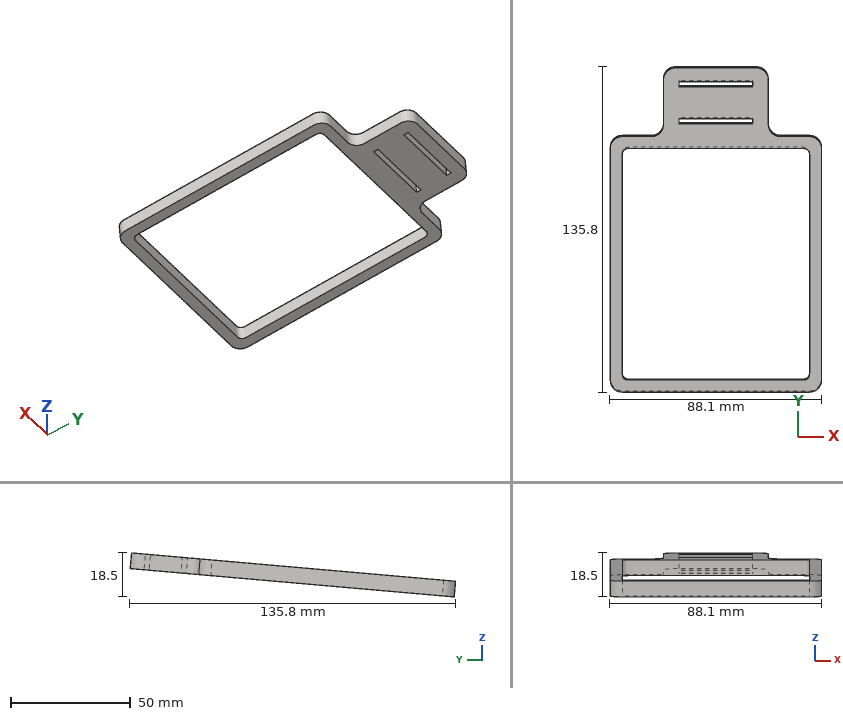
import cadquery as cq
import math

TILT_ANGLE = 5.0
TILTED_LENGTH = 135.8
THICKNESS = 6.7
TILT = math.radians(TILT_ANGLE)
LENGTH = (TILTED_LENGTH - THICKNESS * math.sin(TILT)) / math.cos(TILT)

FRAME_WIDTH = 88.1
FRAME_LENGTH = 107.0
RIM_WIDTH = 5.0
OUTER_RADIUS = 5.0
INNER_RADIUS = 2.5

TAB_WIDTH = 43.7
TAB_RADIUS = 5.0
SLOT_WIDTH = 30.7
SLOT_HEIGHT = 2.2
SLOT_COUNT = 2
SLOT_PITCH = 15.5
OUTER_SLOT_TO_END = 6.9

OPENING_WIDTH = FRAME_WIDTH - 2 * RIM_WIDTH
OPENING_LENGTH = FRAME_LENGTH - 2 * RIM_WIDTH
Y_FRONT = -LENGTH / 2
Y_BACK = LENGTH / 2
Y_SHOULDER = Y_FRONT + FRAME_LENGTH


def block(width, y_start, y_end):
    """Full-thickness block centred on X and Z between two Y positions."""
    length = y_end - y_start
    return cq.Workplane("XY").box(width, length, THICKNESS).translate((0, y_start + length / 2, 0))


def make_body():
    """Frame and tab outline with rounded corners and a filleted junction."""
    frame = block(FRAME_WIDTH, Y_FRONT, Y_SHOULDER).edges("|Z").fillet(OUTER_RADIUS)
    tab = block(TAB_WIDTH, Y_SHOULDER - RIM_WIDTH, Y_BACK).edges("|Z and >Y").fillet(TAB_RADIUS)
    junction = cq.selectors.BoxSelector(
        (-TAB_WIDTH, Y_SHOULDER - TAB_RADIUS / 2, -THICKNESS),
        (TAB_WIDTH, Y_SHOULDER + TAB_RADIUS / 2, THICKNESS),
    )
    body = frame.union(tab)
    return body.edges("|Z").edges(junction).fillet(TAB_RADIUS)


def cut_opening(body):
    """Rounded window that leaves an even rim all round."""
    y_start = Y_FRONT + RIM_WIDTH
    opening = block(OPENING_WIDTH, y_start, y_start + OPENING_LENGTH)
    return body.cut(opening.edges("|Z").fillet(INNER_RADIUS))


def cut_strap_slots(body):
    """Through slots across the tab, stepping inward from its end."""
    for index in range(SLOT_COUNT):
        y_center = Y_BACK - OUTER_SLOT_TO_END - index * SLOT_PITCH
        slot = block(SLOT_WIDTH, y_center - SLOT_HEIGHT / 2, y_center + SLOT_HEIGHT / 2)
        body = body.cut(slot)
    return body


plate = cut_strap_slots(cut_opening(make_body()))
result = plate.rotate((0, 0, 0), (1, 0, 0), TILT_ANGLE)